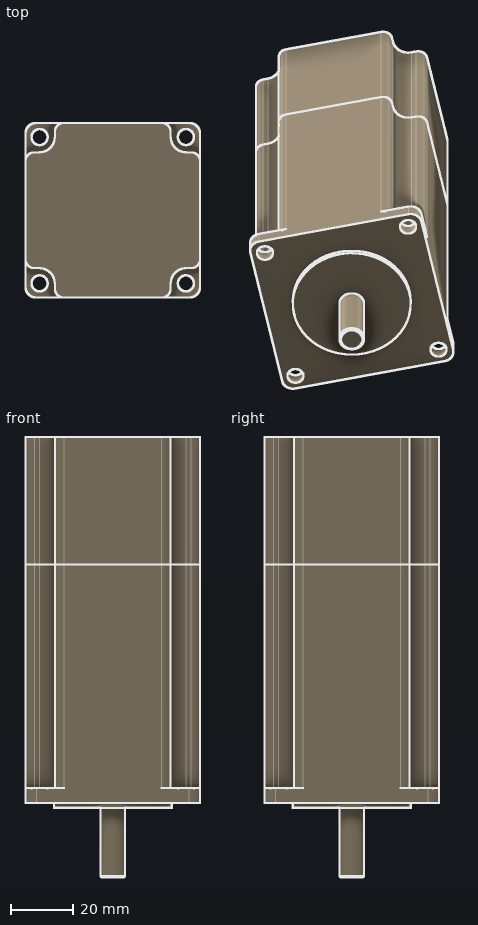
import cadquery as cq

frame_side = 56.4
corner_recess = 9.5
recess_inner_radius = 5.0
recess_lip_radius = 3.0

total_height = 142.0
shaft_length = 24.0
motor_length = 77.0
rear_length = total_height - shaft_length - motor_length

flange_thickness = 4.8
flange_corner_radius = 3.5
bolt_spacing = 47.1
bolt_hole_diameter = 5.1

pilot_diameter = 38.0
pilot_height = 1.5
shaft_diameter = 8.0
shaft_chamfer = 0.5


def frame_prism(bottom, length):
    """Square column with a rounded recess along each of its four corners."""
    prism = cq.Workplane("XY").workplane(offset=bottom).rect(frame_side, frame_side).extrude(length)
    recesses = (
        cq.Workplane("XY")
        .workplane(offset=bottom)
        .rect(frame_side, frame_side, forConstruction=True)
        .vertices()
        .rect(2 * corner_recess, 2 * corner_recess)
        .extrude(length)
        .edges("|Z")
        .fillet(recess_inner_radius)
    )
    prism = prism.cut(recesses)
    half_side = frame_side / 2
    lip_points = [
        (x_sign * along_x, y_sign * along_y)
        for x_sign in (-1, 1)
        for y_sign in (-1, 1)
        for along_x, along_y in (
            (half_side, half_side - corner_recess),
            (half_side - corner_recess, half_side),
        )
    ]
    for x, y in lip_points:
        lip_edge = cq.selectors.NearestToPointSelector((x, y, bottom + length / 2))
        prism = prism.edges(lip_edge).fillet(recess_lip_radius)
    return prism


def mounting_flange():
    """Square plate with rounded corners and four through bolt holes."""
    return (
        cq.Workplane("XY")
        .rect(frame_side, frame_side)
        .extrude(flange_thickness)
        .edges("|Z")
        .fillet(flange_corner_radius)
        .faces(">Z")
        .workplane()
        .rect(bolt_spacing, bolt_spacing, forConstruction=True)
        .vertices()
        .hole(bolt_hole_diameter)
    )


def pilot_and_shaft():
    """Locating boss and chamfered output shaft below the mounting face."""
    pilot = cq.Workplane("XY").circle(pilot_diameter / 2).extrude(-pilot_height)
    shaft = (
        cq.Workplane("XY")
        .circle(shaft_diameter / 2)
        .extrude(-shaft_length)
        .faces("<Z")
        .chamfer(shaft_chamfer)
    )
    return pilot.union(shaft)


def make_motor():
    """Motor frame with its flange, pilot boss and output shaft."""
    frame = frame_prism(flange_thickness, motor_length - flange_thickness)
    return mounting_flange().union(frame).union(pilot_and_shaft()).clean()


def make_rear_housing():
    """Rear housing that continues the motor's frame section upward."""
    return frame_prism(motor_length, rear_length)


motor = make_motor()
rear_housing = make_rear_housing()

result = cq.Compound.makeCompound([motor.solids().val(), rear_housing.solids().val()])